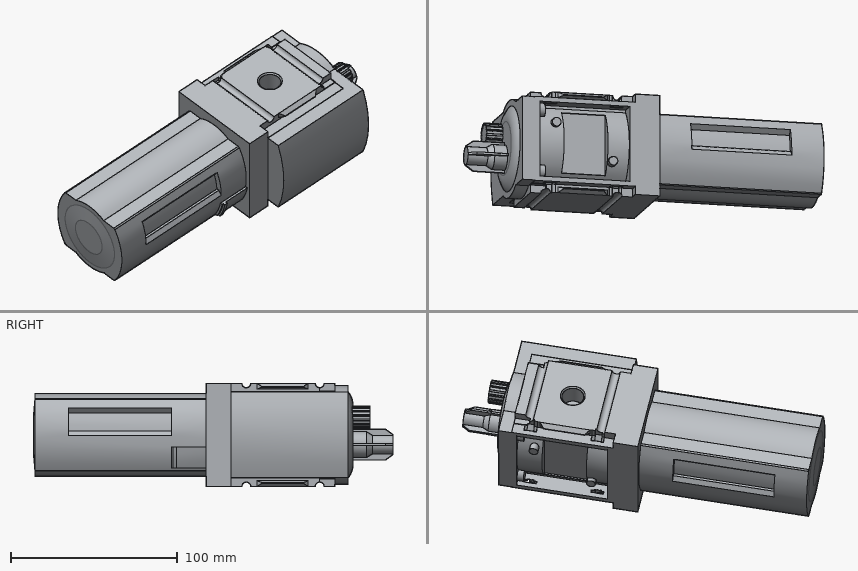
import cadquery as cq
import math


flange_half = 30.97
flange_length = 15.0
core_half_width = 24.0
core_end = 77.3
panel_half_height = 26.0

cover_half_height = 25.7
cover_end = 85.2
slab_edge_x = 40.0
slab_crown_x = 44.78
disc_radius = 29.8

groove_radius = 2.5
groove_places = (24.2, 68.2)
port_y = 46.0
port_diameter = 13.2
port_depth = 13.0
port_chamfer = 0.9
notch_width = 3.9
notch_start = 68.0
notch_floor = 26.3
wing_width = 2.8
wing_half_length = 15.3
wing_height = 3.5
wing_tip_height = 0.5
wing_tip_drop = 2.0
catch_length = 7.5
catch_notch_length = 4.0
catch_outer_x = -27.6
catch_inner_x = -23.7
catch_notch_x = -22.5
catch_bottom = 20.7
catch_places = ((25.7, 25.5), (66.7, 67.0))

window_front = 18.5
window_back = 74.2
window_half_height = 23.0
window_floor_x = -20.7
label_floor_x = -22.0
barrel_radius = disc_radius
label_front = 31.7
label_back = 59.0
label_half_height = 18.5
pin_diameter = 5.5
pin_places = ((63.9, 11.0), (28.7, -11.0))
stud_radius = 4.0
stud_length = 3.9
stud_x = -25.5
stud_z = window_half_height - stud_radius

bowl_end = -102.7
bowl_half_width = 28.0
bowl_corner = 21.5
bowl_flat_z = 21.8
bowl_corner_chamfer = 0.6
bump_half_width = 12.0
bump_crown_z = 24.92
base_outer_radius = 21.5
base_inner_radius = 11.7
base_end = -103.5
side_sagitta = bowl_half_width - bowl_corner
side_radius = (side_sagitta**2 + bowl_flat_z**2) / (2 * side_sagitta)
side_center_x = bowl_half_width - side_radius

sight_front = -82.7
sight_back = -20.7
sight_depth = 3.7
sight_low_z = 2.4
sight_high_z = 13.2
sight_ledge_x = 26.0
sight_lower_rim = (30.2, -3.0)
sight_upper_rim = (27.0, 18.8)

latch_thickness = 1.5
latch_length = 20.7
ridge_thickness = 2.8
ridge_front = -19.9
ridge_back = -17.7
latch_top_z = -7.3
latch_bottom_z = -19.9

dome_radius = 26.0
dome_flat_radius = 16.2
dome_shoulder = (22.5, 87.3)
dome_top = 88.3
spigot_z = -5.8
spigot_end = 112.2
spigot_radius = 7.8
spigot_tip_radius = 5.6
spigot_cone_start = 96.2
spigot_cone_end = 100.0
fin_half_width = 9.3
fin_thickness = 1.3
fin_chamfer_width = 3.2
fin_chamfer_length = 4.5
knob_x = 10.1
knob_z = 10.4
knob_radius = 7.01
knob_end = 98.5
knob_teeth = 16
knob_gap_width = 1.0
knob_gap_depth = 1.0

overcut = 2.2


def box(x, y, z):
    """Box given by its (low, high) pair along each axis."""
    size = [high - low for low, high in (x, y, z)]
    return cq.Workplane("XY").box(*size, centered=False).translate((x[0], y[0], z[0]))


def profile(y_start):
    """Workplane of (X, Z) outlines that extrudes towards -Y."""
    return cq.Workplane("XZ", origin=(0, y_start, 0))


def rod(radius, x, z, y_start, y_end):
    """Round rod along Y."""
    return profile(y_end).center(x, z).circle(radius).extrude(y_end - y_start)


def both_sides(shape, plane):
    return shape.union(shape.mirror(plane))


def make_housing():
    span = (-flange_half, flange_half)
    flange = box(span, (0, flange_length), span)
    core = box((-core_half_width, core_half_width), (flange_length, core_end), span)
    panels = box(span, (flange_length, core_end), (-panel_half_height, panel_half_height))
    back_plate = box(span, (core_end, cover_end), (-cover_half_height, cover_half_height))
    slab = (
        profile(cover_end)
        .moveTo(flange_half, -cover_half_height)
        .lineTo(slab_edge_x, -cover_half_height)
        .threePointArc((slab_crown_x, 0), (slab_edge_x, cover_half_height))
        .lineTo(flange_half, cover_half_height)
        .close()
        .extrude(cover_end - flange_length)
    )
    collar = rod(disc_radius, 0, 0, core_end, cover_end)
    return flange.union(core).union(panels).union(back_plate).union(slab).union(collar)


def make_wings():
    """Tapered lips along the four long edges of the core, flush with its faces."""
    tip_z = flange_half - wing_tip_drop - wing_tip_height / 2
    root_middle_z = flange_half - wing_height / 2
    tip_half_length = wing_half_length - wing_width
    wing = (
        cq.Workplane("YZ", origin=(core_half_width, port_y, 0))
        .center(0, root_middle_z)
        .rect(2 * wing_half_length, wing_height)
        .workplane(offset=wing_width)
        .center(0, tip_z - root_middle_z)
        .rect(2 * tip_half_length, wing_tip_height)
        .loft()
    )
    return both_sides(both_sides(wing, "YZ"), "XY")


def make_catch(y, length, inner_x):
    """Opening through a side panel with a sloping floor and a straight inner wall."""
    top = flange_half + overcut
    return (
        profile(y + length / 2)
        .polyline([
            (catch_outer_x, top),
            (catch_outer_x, catch_bottom),
            (inner_x, panel_half_height),
            (inner_x, top),
        ])
        .close()
        .extrude(length)
    )


def make_core_cuts():
    """Cross grooves, back corner notches and catch openings of the top and bottom faces."""
    cuts = cq.Workplane("XY")
    for y in groove_places:
        groove = (
            cq.Workplane("YZ", origin=(-core_half_width, y, flange_half))
            .circle(groove_radius)
            .extrude(2 * core_half_width)
        )
        cuts = cuts.union(groove)
    notch = box(
        (core_half_width - notch_width, core_half_width),
        (notch_start, core_end),
        (notch_floor, flange_half + overcut),
    )
    cuts = cuts.union(both_sides(notch, "YZ"))
    for opening_y, notch_y in catch_places:
        cuts = cuts.union(make_catch(opening_y, catch_length, catch_inner_x))
        cuts = cuts.union(make_catch(notch_y, catch_notch_length, catch_notch_x))
    return both_sides(cuts, "XY")


def make_port():
    hole = cq.Workplane("XY", origin=(0, port_y, flange_half)).circle(port_diameter / 2).extrude(-port_depth)
    mouth = (
        cq.Workplane("XY", origin=(0, port_y, flange_half))
        .circle(port_diameter / 2 + port_chamfer)
        .workplane(offset=-port_chamfer)
        .circle(port_diameter / 2)
        .loft()
    )
    return hole.union(mouth)


def make_window_cut():
    """Pocket in the -X panel, leaving a barrel-shaped face, two pins and two studs."""
    pocket = box(
        (-flange_half, window_floor_x),
        (window_front, window_back),
        (-window_half_height, window_half_height),
    )
    barrel = rod(barrel_radius, 0, 0, window_front, window_back)
    label = box(
        (-flange_half, label_floor_x),
        (label_front, label_back),
        (-label_half_height, label_half_height),
    )
    kept = barrel.cut(label)
    for y, z in pin_places:
        pin = cq.Workplane("YZ", origin=(-flange_half, y, z)).circle(pin_diameter / 2)
        kept = kept.union(pin.extrude(flange_half + window_floor_x))
    for z in (-stud_z, stud_z):
        kept = kept.union(rod(stud_radius, stud_x, z, window_back - stud_length, window_back))
    return pocket.cut(kept)


def make_bowl():
    outline = (
        profile(0)
        .moveTo(-bowl_corner, bowl_flat_z)
        .lineTo(-bump_half_width, bowl_flat_z)
        .threePointArc((0, bump_crown_z), (bump_half_width, bowl_flat_z))
        .lineTo(bowl_corner, bowl_flat_z)
        .threePointArc((bowl_half_width, 0), (bowl_corner, -bowl_flat_z))
        .lineTo(bump_half_width, -bowl_flat_z)
        .threePointArc((0, -bump_crown_z), (-bump_half_width, -bowl_flat_z))
        .lineTo(-bowl_corner, -bowl_flat_z)
        .threePointArc((-bowl_half_width, 0), (-bowl_corner, bowl_flat_z))
        .close()
    )
    bowl = outline.extrude(-bowl_end).edges("|Y").edges("<X or >X").chamfer(bowl_corner_chamfer)
    base = (
        profile(bowl_end)
        .circle(base_outer_radius)
        .workplane(offset=bowl_end - base_end)
        .circle(base_inner_radius)
        .loft()
    )
    floor_radius = side_radius - sight_depth

    def floor_point(z):
        return (side_center_x + math.sqrt(floor_radius**2 - z**2), z)

    sight = (
        profile(sight_back)
        .moveTo(*sight_lower_rim)
        .lineTo(sight_ledge_x, sight_low_z)
        .lineTo(*floor_point(sight_low_z))
        .threePointArc(floor_point((sight_low_z + sight_high_z) / 2), floor_point(sight_high_z))
        .lineTo(*sight_upper_rim)
        .lineTo(sight_lower_rim[0], sight_upper_rim[1])
        .close()
        .extrude(sight_back - sight_front)
    )
    return bowl.union(base).cut(both_sides(sight, "YZ"))


def make_latch():
    """Curved strip following the +X side of the bowl, with a thin ridge near its front."""
    def strip(thickness, y_start, y_end):
        outer = rod(side_radius + thickness, side_center_x, 0, y_start, y_end)
        return outer.intersect(
            box((bump_half_width, flange_half), (y_start, y_end), (latch_bottom_z, latch_top_z))
        )

    band = strip(latch_thickness, -latch_length, 0)
    ridge = strip(ridge_thickness, ridge_front, ridge_back)
    return band.union(ridge)


def make_dome():
    return (
        cq.Workplane("XY")
        .moveTo(0, cover_end)
        .lineTo(dome_radius, cover_end)
        .threePointArc(dome_shoulder, (dome_flat_radius, dome_top))
        .lineTo(0, dome_top)
        .close()
        .revolve(360, (0, 0, 0), (0, 1, 0))
    )


def make_spigot():
    stem = (
        cq.Workplane("XY")
        .moveTo(0, cover_end)
        .lineTo(spigot_radius, cover_end)
        .lineTo(spigot_radius, spigot_cone_start)
        .lineTo(spigot_tip_radius, spigot_cone_end)
        .lineTo(spigot_tip_radius, spigot_end)
        .lineTo(0, spigot_end)
        .close()
        .revolve(360, (0, 0, 0), (0, 1, 0))
    )
    fin_tip = fin_half_width - fin_chamfer_width
    fin_shoulder = spigot_end - fin_chamfer_length
    fin = (
        cq.Workplane("XY")
        .polyline([
            (-fin_half_width, cover_end),
            (fin_half_width, cover_end),
            (fin_half_width, fin_shoulder),
            (fin_tip, spigot_end),
            (-fin_tip, spigot_end),
            (-fin_half_width, fin_shoulder),
        ])
        .close()
        .extrude(fin_thickness / 2, both=True)
    )
    cross_fin = fin.rotate((0, 0, 0), (0, 1, 0), 90)
    return stem.union(fin).union(cross_fin).translate((0, 0, spigot_z))


def make_knob():
    knob = rod(knob_radius, 0, 0, cover_end, knob_end)
    gap = box(
        (knob_radius - knob_gap_depth, knob_radius + overcut),
        (cover_end, knob_end),
        (-knob_gap_width / 2, knob_gap_width / 2),
    )
    pitch = 360 / knob_teeth
    for tooth in range(knob_teeth):
        knob = knob.cut(gap.rotate((0, 0, 0), (0, 1, 0), (tooth + 0.5) * pitch))
    return knob.translate((knob_x, 0, knob_z))


housing = make_housing().union(make_wings())
housing = housing.cut(make_core_cuts()).cut(make_port()).cut(make_window_cut())
result = housing.union(make_bowl()).union(make_latch())
result = result.union(make_dome()).union(make_spigot()).union(make_knob())